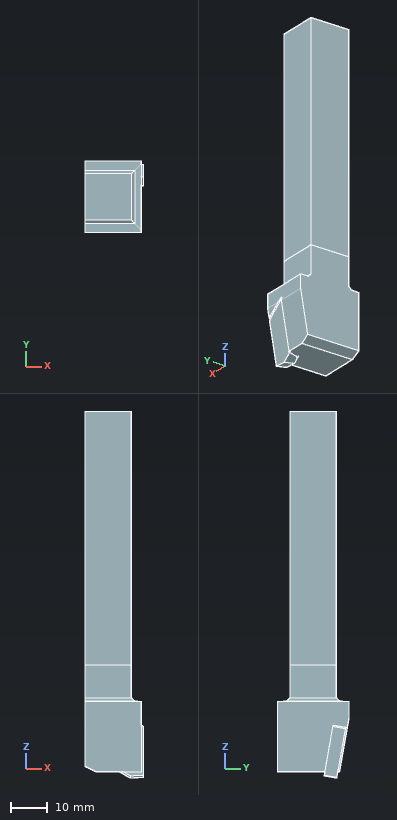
import cadquery as cq
import math

total_height = 99.55
head_depth = 19.5
overall_width = 15.9

shank_side = 12.6
shank_front = 3.4
shank_back = shank_front + shank_side
shank_bottom = 30.7

head_width = 15.3
head_bottom = 1.7
head_shoulder = 20.9
neck_chamfer = 0.9
ledge_slope = math.tan(math.radians(2))
edge_chamfer_width = 3.0
edge_chamfer_height = 1.5
clearance_angle = 10
clearance_top = 16.4
lean_slope = math.tan(math.radians(clearance_angle))

insert_thickness = 3.5
insert_back = 16.1
insert_edge_start = 12.3
insert_edge_rise = 0.2
insert_inner_side = 9.0
insert_height = 13.6
insert_flank_slope = math.tan(math.radians(30))


def make_shank():
    return (
        cq.Workplane("XY", origin=(0, 0, shank_bottom))
        .rect(shank_side, shank_side)
        .extrude(total_height - shank_bottom)
        .translate((shank_side / 2, shank_front + shank_side / 2, 0))
    )


def ledge_edge_height(ledge_width):
    """Height of a ledge's outer edge, after it falls from the neck chamfer."""
    return head_shoulder - (ledge_width - neck_chamfer) * ledge_slope


def make_head_block():
    """Head with its neck: the side profile and the front profile intersected."""
    chamfer_top = head_shoulder + neck_chamfer
    back_at_bottom = head_depth - (clearance_top - head_bottom) * lean_slope
    side_profile = [
        (0, head_bottom),
        (back_at_bottom, head_bottom),
        (head_depth, clearance_top),
        (head_depth, ledge_edge_height(head_depth - shank_back)),
        (shank_back + neck_chamfer, head_shoulder),
        (shank_back, chamfer_top),
        (shank_back, shank_bottom),
        (shank_front, shank_bottom),
        (shank_front, chamfer_top),
        (shank_front - neck_chamfer, head_shoulder),
        (0, ledge_edge_height(shank_front)),
    ]
    front_profile = [
        (edge_chamfer_width, head_bottom),
        (head_width, head_bottom),
        (head_width, ledge_edge_height(head_width - shank_side)),
        (shank_side + neck_chamfer, head_shoulder),
        (shank_side, chamfer_top),
        (shank_side, shank_bottom),
        (0, shank_bottom),
        (0, head_bottom + edge_chamfer_height),
    ]
    side_prism = cq.Workplane("YZ").polyline(side_profile).close().extrude(head_width)
    front_prism = cq.Workplane("XZ").polyline(front_profile).close().extrude(-head_depth)
    return side_prism.intersect(front_prism)


def insert_outline():
    """Insert outline on its rear face, which leans toward +Y as it rises."""
    lean = math.radians(clearance_angle)
    rear_plane = cq.Plane(
        origin=(0, insert_back, 0),
        xDir=(1, 0, 0),
        normal=(0, -math.cos(lean), math.sin(lean)),
    )
    inner_bottom = (insert_edge_start - insert_inner_side) * insert_flank_slope
    inner_top = insert_height + (overall_width - insert_inner_side) * insert_flank_slope
    points = [
        (insert_edge_start, 0),
        (overall_width, insert_edge_rise),
        (overall_width, insert_height),
        (insert_inner_side, inner_top),
        (insert_inner_side, inner_bottom),
    ]
    return cq.Workplane(rear_plane).polyline(points).close()


def make_insert():
    return insert_outline().extrude(insert_thickness)


def make_head(insert):
    """Head block with the insert's pocket, open through the rear face."""
    pocket_opening = insert_outline().extrude(-insert_thickness)
    return make_head_block().cut(insert).cut(pocket_opening)


shank = make_shank()
insert = make_insert()
head = make_head(insert)

result = cq.Compound.makeCompound([shank.val(), *head.vals(), insert.val()])